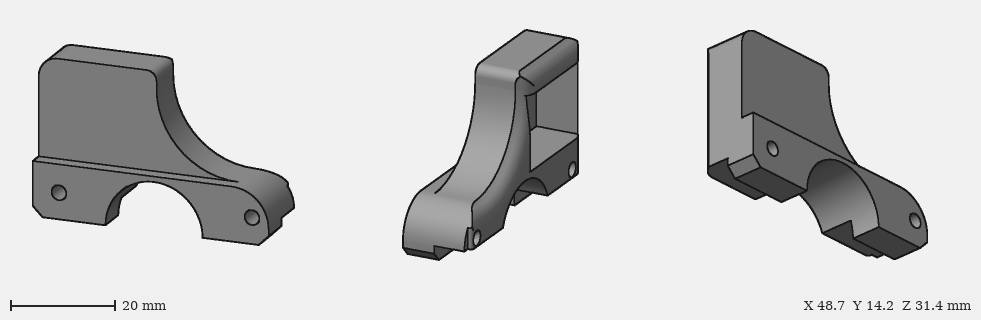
import cadquery as cq
import math

length = 48.65
depth = 14.2
height = 31.35

arm_height = 11.15
head_width = 24.3
head_left_radius = 4.0
head_right_radius = 2.0
arm_end_radius = 7.6
sweep_radius = length - arm_end_radius - head_width
sweep_x = head_width + sweep_radius
sweep_z = arm_height + sweep_radius
foot_chamfer = 2.05
arch_radius = 10.0
arch_x = 25.0

head_setback = 3.0
foot_depth = 6.7
foot_height = 3.65

hole_diameter = 3.0
hole_inset_left = 5.4
hole_inset_right = 3.4
hole_z = 5.4

edge_width = 3.9
edge_drop = 2.5
edge_radius = 4.0
bevel_width = 0.6

pocket_left = 1.45
pocket_right = 22.95
pocket_top = 26.65
pocket_floor = head_setback + 1.45

rim_width = 1.45
rim_drop = 0.95
rim_rounding = 0.6

overcut = 2.45
back_y = depth + overcut


def box(x_range, y_range, z_range):
    """Axis-aligned box between pairs of limits."""
    (x0, x1), (y0, y1), (z0, z1) = x_range, y_range, z_range
    return cq.Workplane("XY").box(x1 - x0, y1 - y0, z1 - z0, centered=False).translate((x0, y0, z0))


def front_cylinder(x, z, radius):
    """Cylinder along Y through the full depth."""
    return cq.Workplane("XZ").center(x, z).circle(radius).extrude(-depth)


def arc_depth(inset):
    """Y of the rounded edge at a given inset from the outer wall."""
    return depth - edge_radius + math.sqrt(edge_radius**2 - (edge_width - inset) ** 2)


def edge_profile(plane, edge, inward):
    """Waste section outside the rounded edge; inward is the sign toward the body."""
    middle = (bevel_width + edge_width) / 2

    def point(inset, y):
        across = edge + inward * inset
        return (y, across) if plane == "YZ" else (across, y)

    return (
        cq.Workplane(plane)
        .moveTo(*point(0, depth - edge_drop))
        .lineTo(*point(bevel_width, arc_depth(bevel_width)))
        .threePointArc(point(middle, arc_depth(middle)), point(edge_width, depth))
        .lineTo(*point(edge_width, back_y))
        .lineTo(*point(-overcut, back_y))
        .lineTo(*point(-overcut, depth - edge_drop))
        .close()
    )


def make_body():
    """Head and arm joined by a concave sweep, with chamfered feet."""
    diagonal = math.sqrt(0.5)
    end_x = length - arm_end_radius
    end_z = arm_height - arm_end_radius
    left_x = head_left_radius
    left_z = height - head_left_radius
    right_x = head_width - head_right_radius
    right_z = height - head_right_radius
    return (
        cq.Workplane("XZ")
        .moveTo(foot_chamfer, 0)
        .lineTo(length - foot_chamfer, 0)
        .lineTo(length, foot_chamfer)
        .lineTo(length, end_z)
        .threePointArc(
            (end_x + arm_end_radius * diagonal, end_z + arm_end_radius * diagonal),
            (end_x, arm_height),
        )
        .threePointArc(
            (sweep_x - sweep_radius * diagonal, sweep_z - sweep_radius * diagonal),
            (head_width, sweep_z),
        )
        .lineTo(head_width, right_z)
        .threePointArc(
            (right_x + head_right_radius * diagonal, right_z + head_right_radius * diagonal),
            (right_x, height),
        )
        .lineTo(left_x, height)
        .threePointArc(
            (left_x - head_left_radius * diagonal, left_z + head_left_radius * diagonal),
            (0, left_z),
        )
        .lineTo(0, foot_chamfer)
        .close()
        .extrude(-depth)
    )


def round_back_edges(body):
    """Round the back edge along the left side, head top, sweep and arm top."""
    left = edge_profile("XY", 0, 1).extrude(height)
    head_top = edge_profile("YZ", height, -1).extrude(head_width)
    head_right = edge_profile("XY", head_width, -1).extrude(height - sweep_z)
    head_right = head_right.translate((0, 0, sweep_z))
    arm_top = edge_profile("YZ", arm_height, -1).extrude(length - sweep_x)
    arm_top = arm_top.translate((sweep_x, 0, 0))
    sweep = edge_profile("XY", -sweep_radius, -1).revolve(90, (0, 0, 0), (0, -1, 0))
    sweep = sweep.translate((sweep_x, 0, sweep_z))
    for waste in (left, head_top, head_right, arm_top, sweep):
        body = body.cut(waste)
    return body


def lower_arm_rim(body):
    """Drop the back face at the arm end, with a rounded shoulder."""
    shoulder_x = length - rim_width
    rim = box((shoulder_x, length), (depth - rim_drop, back_y), (0, arm_height))
    shoulder = (
        cq.Workplane("XY")
        .moveTo(shoulder_x - rim_rounding, depth)
        .radiusArc((shoulder_x, depth - rim_rounding), rim_rounding)
        .lineTo(shoulder_x, depth)
        .close()
        .extrude(arm_height)
    )
    return body.cut(rim).cut(shoulder)


body = make_body()
body = body.cut(box((0, length), (0, head_setback), (arm_height, height)))
body = body.cut(box((0, length), (foot_depth, depth), (0, foot_height)))
body = round_back_edges(body)
body = lower_arm_rim(body)
body = body.cut(
    box((pocket_left, pocket_right), (pocket_floor, depth), (arm_height, pocket_top))
)
body = body.cut(front_cylinder(arch_x, 0, arch_radius))
for hole_x in (hole_inset_left, length - hole_inset_right):
    body = body.cut(front_cylinder(hole_x, hole_z, hole_diameter / 2))

result = body